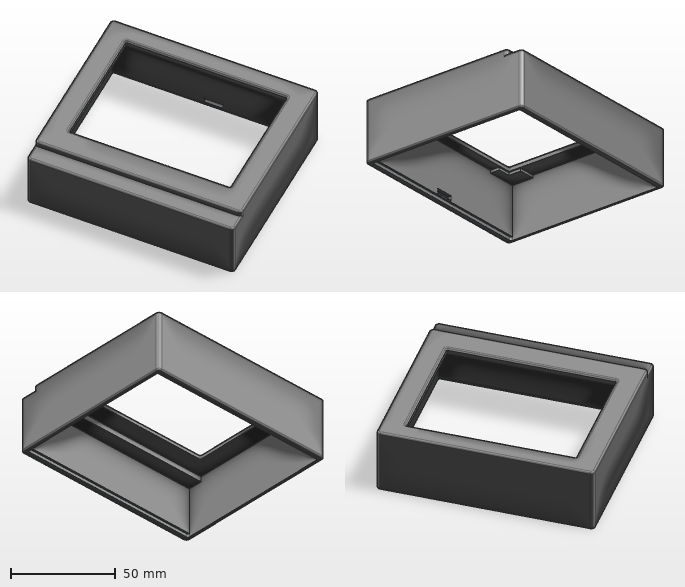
import cadquery as cq

LENGTH = 109.0
WIDTH = 96.0
HEIGHT = 34.0
EDGE_RADIUS = 1.0
CORNER_RADIUS = 2 * EDGE_RADIUS

LEDGE_DEPTH = 9.0
LEDGE_DROP = 3 * EDGE_RADIUS

WINDOW_LENGTH = 84.8
WINDOW_WIDTH = 63.7
WINDOW_CENTER_Y = 6.1
WINDOW_CORNER_RADIUS = EDGE_RADIUS / 2
WINDOW_CHAMFER = EDGE_RADIUS

TOP_THICKNESS = 3.0
SIDE_WALL = 2.0
END_WALL = 4.0
CAVITY_LENGTH = LENGTH - 2 * SIDE_WALL
CAVITY_WIDTH = WIDTH - 2 * END_WALL
CAVITY_HEIGHT = HEIGHT - TOP_THICKNESS

REBATE_DEPTH = 1.0
REBATE_HEIGHT = 2.0
REBATE_CORNER_RADIUS = 1.0

PAD_THICKNESS = 1.5
PAD_SETBACK = 0.8
PAD_REACH = 7.3

NOTCH_LENGTH = 10.0
NOTCH_CENTER_X = 0.9
NOTCH_BOTTOM = 2.8
NOTCH_HEIGHT = 2.5
NOTCH_DEPTH = 2.0

TOLERANCE = 0.1


def rounded_block(width, height):
    """Block flush with the rear of the housing, with all its edges rounded."""
    return (
        cq.Workplane("XY")
        .center(0, (WIDTH - width) / 2)
        .rect(LENGTH, width)
        .extrude(height)
        .edges("|Z")
        .fillet(CORNER_RADIUS)
        .faces("<Z or >Z")
        .edges()
        .fillet(EDGE_RADIUS)
    )


def box_between(low, high):
    """Box spanning two opposite corner points."""
    size = [b - a for a, b in zip(low, high)]
    return cq.Workplane("XY").box(*size, centered=False).translate(low)


def centered_box(length, width, height, center_y=0):
    """Box standing on Z = 0, centred on X."""
    return cq.Workplane("XY").center(0, center_y).rect(length, width).extrude(height)


def make_body():
    low_block = rounded_block(WIDTH, HEIGHT - LEDGE_DROP)
    tall_block = rounded_block(WIDTH - LEDGE_DEPTH, HEIGHT)
    return low_block.union(tall_block)


def make_corner_pad():
    """Two legs that meet behind the rear right window corner and run out to the cavity walls."""
    inner_x = WINDOW_LENGTH / 2 + PAD_SETBACK
    inner_y = WINDOW_CENTER_Y + WINDOW_WIDTH / 2 + PAD_SETBACK
    bottom = CAVITY_HEIGHT - PAD_THICKNESS
    square = box_between(
        (inner_x - PAD_REACH, inner_y - PAD_REACH, bottom),
        (CAVITY_LENGTH / 2, CAVITY_WIDTH / 2, CAVITY_HEIGHT),
    )
    clearance = box_between((0, 0, 0), (inner_x, inner_y, HEIGHT))
    return square.cut(clearance)


def make_cavity():
    main = centered_box(CAVITY_LENGTH, CAVITY_WIDTH, CAVITY_HEIGHT)
    ledge_lining = box_between(
        (-LENGTH / 2, -WIDTH / 2, CAVITY_HEIGHT - LEDGE_DROP),
        (LENGTH / 2, -WIDTH / 2 + LEDGE_DEPTH + TOP_THICKNESS, HEIGHT),
    )
    rebate = centered_box(CAVITY_LENGTH, CAVITY_WIDTH + 2 * REBATE_DEPTH, REBATE_HEIGHT)
    rebate = rebate.edges("|Z").fillet(REBATE_CORNER_RADIUS)
    return main.cut(ledge_lining).cut(make_corner_pad()).union(rebate)


def make_notch():
    wall_y = CAVITY_WIDTH / 2
    return box_between(
        (NOTCH_CENTER_X - NOTCH_LENGTH / 2, wall_y - TOLERANCE, NOTCH_BOTTOM),
        (NOTCH_CENTER_X + NOTCH_LENGTH / 2, wall_y + NOTCH_DEPTH, NOTCH_BOTTOM + NOTCH_HEIGHT),
    )


def window_rim(offset):
    """Selector for the top-face edges within `offset` outside the window outline."""
    half_length = WINDOW_LENGTH / 2 + offset + TOLERANCE
    half_width = WINDOW_WIDTH / 2 + offset + TOLERANCE
    return cq.selectors.BoxSelector(
        (-half_length, WINDOW_CENTER_Y - half_width, HEIGHT - TOLERANCE),
        (half_length, WINDOW_CENTER_Y + half_width, HEIGHT + TOLERANCE),
    )


def cut_window(housing):
    """Open the window, chamfer its upper rim and round the chamfer into the top face."""
    window = centered_box(WINDOW_LENGTH, WINDOW_WIDTH, HEIGHT, WINDOW_CENTER_Y)
    window = window.edges("|Z").fillet(WINDOW_CORNER_RADIUS)
    opened = housing.cut(window)
    chamfered = opened.edges(window_rim(0)).chamfer(WINDOW_CHAMFER)
    return chamfered.edges(window_rim(WINDOW_CHAMFER)).fillet(EDGE_RADIUS)


shell = make_body().cut(make_cavity())
result = cut_window(shell).cut(make_notch())